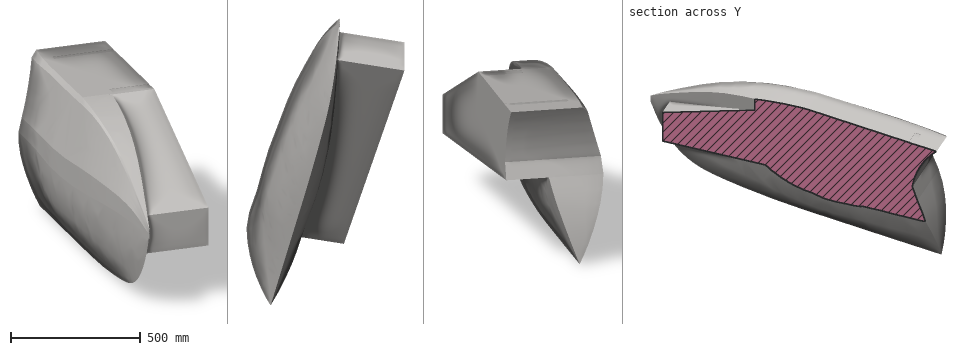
import cadquery as cq

length = 1262.0
deck_height = 638.0
center_plane = 276.0

stern_rake = (75.0, 517.0)
stern_waist_x = 103.0
stern_waist_z = 406.0
stern_step = (82.0, 340.0)
stern_bilge = (33.0, 177.0)
stern_keel_x = 19.0

bridge_knee_x = 559.0
bridge_bow_x = 1171.0
bridge_bow_top = 366.0
bridge_bow_bottom = 210.0
bridge_root_y = 95.0
bridge_bow_root_y = 8.0

beam_recess_depth = 1.0
aft_beam_x, aft_beam_width, aft_beam_end_y = 95.0, 24.0, 25.0
fore_beam_x, fore_beam_width, fore_beam_end_y = 501.0, 39.0, 112.0

bilge_height_ratio = 0.45
inner_bilge_ratio = 0.88
knuckle_width_ratio = 0.95

deck_trim = 1.9
deck_blank = deck_height + deck_trim

stations = [
    (-13.0, 0.0, 340.0, 406.0, 618.0, deck_blank, 98.0, 28.0, 3.0, 105.0, 0.56),
    (177.0, 0.0, 340.0, 406.0, 622.0, deck_blank, 107.0, 35.0, 15.0, 105.0, 0.69),
    (341.0, 0.0, 330.0, 406.0, 622.0, deck_blank, 109.0, 34.0, 15.0, 105.0, 0.75),
    (505.0, 0.0, 322.0, 406.0, 621.0, deck_blank, 107.0, 32.0, 15.0, 105.0, 0.77),
    (606.0, 0.0, 320.0, 409.0, 620.0, 633.0, 101.0, 28.0, 15.0, 100.0, 0.77),
    (712.0, 3.0, 324.0, 416.0, 610.0, 616.0, 93.0, 23.0, 13.0, 91.0, 0.77),
    (908.0, 19.0, 337.0, 416.0, 553.0, 560.0, 70.0, 14.0, 6.0, 65.0, 0.77),
    (1085.0, 62.0, 336.0, 397.0, 459.0, 467.0, 38.0, 8.0, 4.0, 35.0, 0.77),
    (1199.0, 174.0, 322.0, 356.0, 386.0, 392.0, 14.0, 4.0, 1.0, 13.0, 0.77),
    (1249.0, 281.0, 298.0, 328.0, 350.0, 355.0, 4.0, 1.0, 0.6, 3.0, 0.77),
    (length, 341.0, 342.0, 343.0, 345.0, 346.0, 1.0, 0.5, 0.3, 0.8, 0.77),
]


def hull_section(station):
    """Closed hull section: outer side up from the keel, then the deck and the inner side."""
    x, keel, chine, knuckle, bevel, sheer, half_width, bevel_width, sheer_width, inner, fullness = station
    bilge = keel + bilge_height_ratio * (chine - keel)
    bilge_width = fullness * half_width
    return (
        cq.Workplane("YZ", origin=(x, 0, 0))
        .moveTo(0, keel)
        .threePointArc((-bilge_width, bilge), (-half_width, chine))
        .lineTo(-knuckle_width_ratio * half_width, knuckle)
        .lineTo(-bevel_width, bevel)
        .lineTo(-sheer_width, sheer)
        .lineTo(inner, sheer)
        .lineTo(inner, chine)
        .threePointArc((inner_bilge_ratio * fullness * inner, bilge), (0, keel))
        .close()
        .wire()
        .val()
    )


def make_hull():
    sections = [hull_section(station) for station in stations]
    return cq.Workplane(cq.occ_impl.shapes.loft(*sections, cap=True, parametrization="chordal"))


def make_bridge():
    """Bridge deck with a falling foredeck and a tunnel roof that slopes down to the bow."""
    side_block = (
        cq.Workplane("XZ", origin=(0, center_plane, 0))
        .polyline([
            (0, deck_height),
            (bridge_knee_x, deck_height),
            (bridge_bow_x, bridge_bow_top),
            (bridge_bow_x, bridge_bow_bottom),
            stern_step,
            (0, stern_step[1]),
        ])
        .close()
        .extrude(center_plane)
    )
    plan_block = (
        cq.Workplane("XY")
        .polyline([
            (0, center_plane),
            (bridge_bow_x, center_plane),
            (bridge_bow_x, bridge_bow_root_y),
            (bridge_knee_x, bridge_root_y),
            (0, bridge_root_y),
        ])
        .close()
        .extrude(deck_height)
    )
    return side_block.intersect(plan_block)


def make_stern_envelope():
    """Space ahead of the raked stern profile, between keel line and deck height."""
    margin = 63
    depth = 2 * center_plane
    return (
        cq.Workplane("XZ", origin=(0, center_plane + margin, 0))
        .moveTo(0, deck_height)
        .threePointArc(stern_rake, (stern_waist_x, stern_waist_z))
        .lineTo(*stern_step)
        .threePointArc(stern_bilge, (stern_keel_x, 0))
        .lineTo(length + margin, 0)
        .lineTo(length + margin, deck_height)
        .close()
        .extrude(depth)
    )


def beam_recess(start_x, width, end_y):
    return (
        cq.Workplane("XY", origin=(start_x, end_y, deck_height - beam_recess_depth))
        .box(width, center_plane - end_y, beam_recess_depth, centered=False)
    )


envelope = make_stern_envelope()
trimmed_hull = make_hull().intersect(envelope)
trimmed_bridge = make_bridge().intersect(envelope)
result = trimmed_hull.union(trimmed_bridge)
result = result.cut(beam_recess(aft_beam_x, aft_beam_width, aft_beam_end_y))
result = result.cut(beam_recess(fore_beam_x, fore_beam_width, fore_beam_end_y))